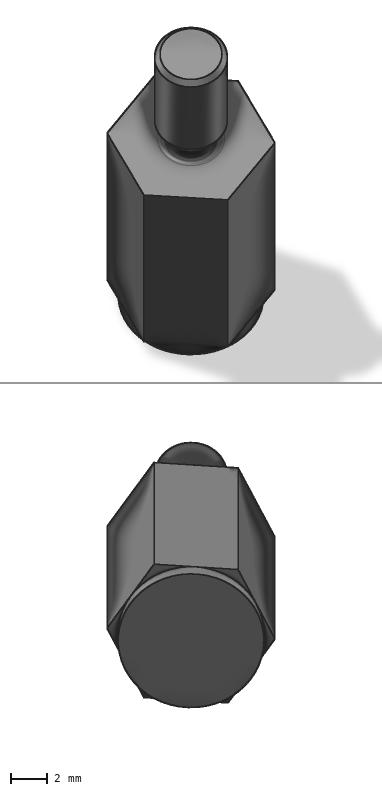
import cadquery as cq
import math

total_height = 23.0
collar_height = 1.0
shoulder_height = 15.0

across_flats = 8.0
across_corners = across_flats / math.cos(math.pi / 6)

stud_radius = 4.0 / 2
tip_chamfer = 0.3

neck_radius = 2.9 / 2
neck_fillet = 0.4
neck_straight = 0.3
flare_angle = math.radians(30)


def make_body():
    """Hexagonal body on a round collar, with corners on the X axis."""
    collar = cq.Workplane("XY").circle(across_flats / 2).extrude(collar_height)
    hexagon = (
        cq.Workplane("XY")
        .workplane(offset=collar_height)
        .polygon(6, across_corners)
        .extrude(shoulder_height - collar_height)
    )
    return collar.union(hexagon)


def make_stud():
    """Revolved stud with a filleted undercut, a conical flare and a chamfered tip."""
    fillet_outer = neck_radius + neck_fillet
    lower_center = shoulder_height + neck_fillet
    upper_center = lower_center + neck_straight

    def fillet_point(center_height, angle):
        """Point on a neck fillet, at an angle above the plane of its centre."""
        return (
            fillet_outer - neck_fillet * math.cos(angle),
            center_height + neck_fillet * math.sin(angle),
        )

    flare_radius, flare_start = fillet_point(upper_center, flare_angle)
    flare_end = flare_start + (stud_radius - flare_radius) / math.tan(flare_angle)

    return (
        cq.Workplane("XZ")
        .moveTo(0, shoulder_height)
        .lineTo(fillet_outer, shoulder_height)
        .threePointArc(fillet_point(lower_center, -math.pi / 4), (neck_radius, lower_center))
        .lineTo(neck_radius, upper_center)
        .threePointArc(fillet_point(upper_center, flare_angle / 2), (flare_radius, flare_start))
        .lineTo(stud_radius, flare_end)
        .lineTo(stud_radius, total_height - tip_chamfer)
        .lineTo(stud_radius - tip_chamfer, total_height)
        .lineTo(0, total_height)
        .close()
        .revolve(360, (0, 0, 0), (0, 1, 0))
    )


result = make_body().union(make_stud())